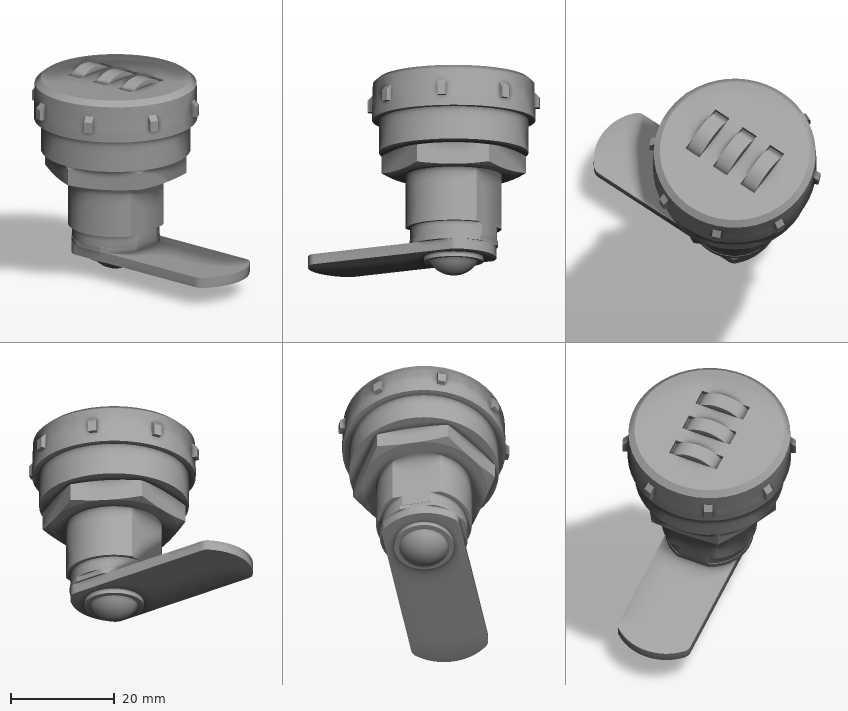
import cadquery as cq
import math


head_height = 6.35
cap_height = 8.1
cap_rim_diameter = 31.5
cap_rim_height = 1.95
cap_taper_diameter = 31.15
cap_face_diameter = 28.8
cap_chamfer_height = 1.0
cap_top_z = head_height + cap_height
cap_rim_z = head_height + cap_rim_height

lug_count = 8
lug_width = 1.6
lug_reach = 16.68
lug_height = 3.1
lug_bevel = 1.0
lug_root = 14.0

wheel_count = 3
wheel_pitch = 6.45
wheel_diameter = 12.35
wheel_width = 3.05
wheel_rise = 1.2
window_width = 3.3
window_length = 10.0
window_depth = 1.0
wheel_axis_z = cap_top_z + wheel_rise - wheel_diameter / 2

head_diameter = 28.8
shank_diameter = 18.45
shank_length = 14.9
tip_diameter = 16.75
tip_length = 2.5
shank_across_flats = 15.9
tip_end_z = -(shank_length + tip_length)

tooth_count = 4
tooth_first_angle = 27.0
tooth_radius = 10.7
tooth_length = 0.75
tooth_width = 1.35

nut_gap = 0.25
nut_thickness = 4.25
nut_across_flats = 24.05
nut_bevel_angle = 14.0

washer_diameter = 17.05
washer_thickness = 1.0
washer_across_flats = 15.75
washer_front_flat = 8.0

cam_thickness = 2.0
cam_width = 15.0
cam_tail_x = -8.0
cam_tip_x = 30.95
cam_end_radius = 10.0
cam_corner_radius = 2.0

flange_diameter = 11.5
flange_thickness = 0.95
dome_diameter = 11.0
dome_height = 2.6

washer_end_z = tip_end_z - washer_thickness
cam_end_z = washer_end_z - cam_thickness
flange_end_z = cam_end_z - flange_thickness


def disc(diameter, z_start, height):
    return cq.Workplane("XY").workplane(offset=z_start).circle(diameter / 2).extrude(height)


def flatted_disc(diameter, across_flats, z_start, height):
    """Disc with two parallel flats that face -X and +X."""
    slab = cq.Workplane("XY").box(across_flats, diameter, height, centered=(True, True, False))
    return disc(diameter, z_start, height).intersect(slab.translate((0, 0, z_start)))


def make_wheel(x_center):
    return (
        cq.Workplane("YZ", origin=(x_center - wheel_width / 2, 0, wheel_axis_z))
        .circle(wheel_diameter / 2)
        .extrude(wheel_width)
    )


def make_lug(angle):
    """Grip lug standing on the rim, with its top outer edge bevelled."""
    lug_top_z = cap_rim_z + lug_height
    bevel_start = lug_reach - lug_bevel
    profile = [
        (lug_root, cap_rim_z),
        (lug_reach, cap_rim_z),
        (lug_reach, lug_top_z - lug_bevel),
        (bevel_start, lug_top_z),
        (lug_root, lug_top_z),
    ]
    lug = cq.Workplane("XZ").polyline(profile).close().extrude(lug_width / 2, both=True)
    return lug.rotate((0, 0, 0), (0, 0, 1), angle)


def make_cap(wheels):
    profile = [
        (0, head_height),
        (cap_rim_diameter / 2, head_height),
        (cap_rim_diameter / 2, cap_rim_z),
        (cap_taper_diameter / 2, cap_top_z - cap_chamfer_height),
        (cap_face_diameter / 2, cap_top_z),
        (0, cap_top_z),
    ]
    cap = cq.Workplane("XZ").polyline(profile).close().revolve(360, (0, 0, 0), (0, 1, 0))
    lug_step = 360 / lug_count
    for index in range(lug_count):
        cap = cap.union(make_lug(lug_step * (index + 0.5)))
    windows = (
        cq.Workplane("XY", origin=(0, 0, cap_top_z))
        .rarray(wheel_pitch, 0.45, wheel_count, 1)
        .rect(window_width, window_length)
        .extrude(-window_depth)
    )
    cap = cap.cut(windows)
    for wheel in wheels:
        cap = cap.cut(wheel)
    return cap


def make_housing(wheels):
    housing = disc(head_diameter, 0, head_height)
    housing = housing.union(flatted_disc(shank_diameter, shank_across_flats, -shank_length, shank_length))
    housing = housing.union(flatted_disc(tip_diameter, shank_across_flats, tip_end_z, tip_length))
    teeth = (
        cq.Workplane("XY")
        .polarArray(tooth_radius, tooth_first_angle, 360, tooth_count)
        .rect(tooth_length, tooth_width)
        .extrude(-nut_gap)
    )
    housing = housing.union(teeth)
    for wheel in wheels:
        housing = housing.cut(wheel)
    return housing


def make_nut():
    """Hexagon nut with two corners on the Y axis and bevelled corners at both ends."""
    nut_top_z = -nut_gap
    nut_bottom_z = nut_top_z - nut_thickness
    across_corners = nut_across_flats / math.cos(math.radians(30))
    hexagon = (
        cq.Workplane("XY", origin=(0, 0, nut_bottom_z))
        .polygon(6, across_corners)
        .extrude(nut_thickness)
        .rotate((0, 0, 0), (0, 0, 1), 30)
    )
    face_radius = nut_across_flats / 2
    corner_radius = across_corners / 2
    bevel_drop = (corner_radius - face_radius) * math.tan(math.radians(nut_bevel_angle))
    bevel_profile = [
        (0, nut_bottom_z),
        (face_radius, nut_bottom_z),
        (corner_radius, nut_bottom_z + bevel_drop),
        (corner_radius, nut_top_z - bevel_drop),
        (face_radius, nut_top_z),
        (0, nut_top_z),
    ]
    bevelled_blank = cq.Workplane("XZ").polyline(bevel_profile).close().revolve(360, (0, 0, 0), (0, 1, 0))
    bore = disc(shank_diameter, nut_bottom_z, nut_thickness)
    return hexagon.intersect(bevelled_blank).cut(bore)


def make_stop_washer():
    """Washer with flats on -X and +X and a third flat on -Y."""
    washer = flatted_disc(washer_diameter, washer_across_flats, washer_end_z, washer_thickness)
    front_cutter = cq.Workplane("XY").box(
        washer_diameter, washer_diameter, washer_thickness, centered=(True, False, False)
    )
    return washer.cut(front_cutter.translate((0, -washer_front_flat - washer_diameter, washer_end_z)))


def make_cam():
    """Flat arm with bowed ends and rounded corners."""
    half_width = cam_width / 2
    end_sagitta = cam_end_radius - math.sqrt(cam_end_radius**2 - half_width**2)
    return (
        cq.Workplane("XY", origin=(0, 0, cam_end_z))
        .moveTo(cam_tail_x + end_sagitta, -half_width)
        .lineTo(cam_tip_x - end_sagitta, -half_width)
        .threePointArc((cam_tip_x, 0), (cam_tip_x - end_sagitta, half_width))
        .lineTo(cam_tail_x + end_sagitta, half_width)
        .threePointArc((cam_tail_x, 0), (cam_tail_x + end_sagitta, -half_width))
        .close()
        .extrude(cam_thickness)
        .edges("|Z")
        .fillet(cam_corner_radius)
    )


def make_screw():
    flange = disc(flange_diameter, flange_end_z, flange_thickness)
    ball_center_z = flange_end_z - dome_height + dome_diameter / 2
    ball = cq.Workplane("XY").sphere(dome_diameter / 2).translate((0, 0, ball_center_z))
    dome = ball.intersect(disc(dome_diameter, flange_end_z - dome_height, dome_height))
    return flange.union(dome)


wheels = [make_wheel(wheel_pitch * (index - (wheel_count - 1) / 2)) for index in range(wheel_count)]
cap = make_cap(wheels)
housing = make_housing(wheels)
nut = make_nut()
stop_washer = make_stop_washer()
cam = make_cam()
screw = make_screw()

result = cq.Compound.makeCompound(
    [wheel.val() for wheel in wheels]
    + [cap.val(), housing.val(), nut.val(), stop_washer.val(), cam.val(), screw.val()]
)